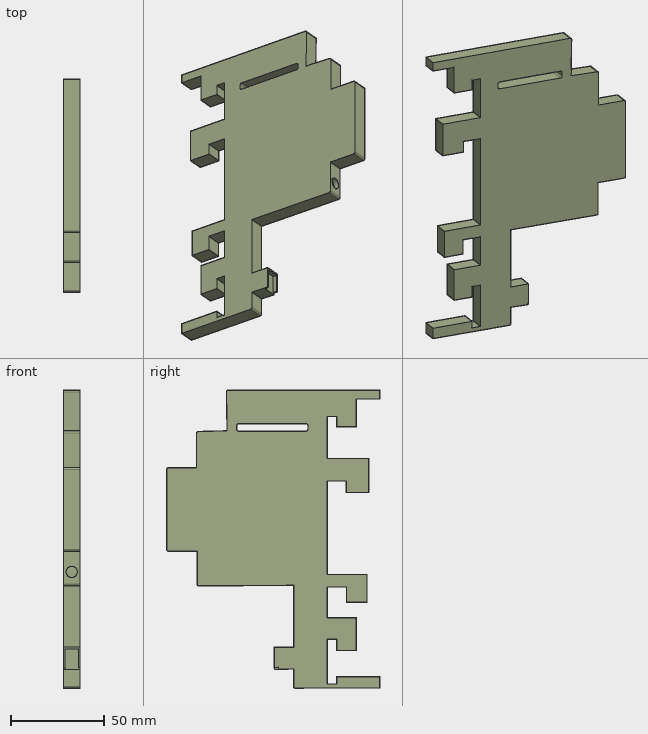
import cadquery as cq

thickness = 9.0
depth = 114.43
height = 160.08
corner_radius = 1.0

spine_back = 86.3
spine_front = 68.1
head_front_top = 32.0
head_front_bottom = 32.35
upper_step_front = 16.0
lower_step_front = 16.3

shelf_back_z = 138.3
shelf_front_z = 137.9
nose_top = 118.5
nose_bottom = 73.5
block_bottom_back = 55.2
block_bottom_front = 54.9

tab_front = 57.7
tab_top = 22.1
tab_bottom_front = 10.0
tab_bottom_back = 10.3
tab_recess_width = 7.3
tab_recess_depth = 2.2
tab_recess_top_wall = 1.1
tab_side_wall = (thickness - tab_recess_width) / 2
far_wall_shortening = 1.2

lip_bottom = 155.2
foot_top = 6.2
foot_bottom_back = 0.15
foot_notch_back = 91.2
foot_notch_bottom = 2.4

top_hook = (101.8, 91.2, lip_bottom, 145.9, 140.3)
second_hook = (108.6, 96.3, 123.4, 111.2, 105.1)
third_hook = (107.6, 96.5, 61.2, 54.3, 46.1)
fourth_hook = (101.8, 91.2, 37.9, 26.3, 20.2)

slot_back = 75.8
slot_front = 37.7
slot_top = 142.0
slot_bottom = 138.1

hole_diameter = 6.0
hole_z = 62.5
hole_depth = 3.0


def hook_points(back, notch_back, top, notch_top, tip_bottom):
    """Points of a downward hook, from its top edge to the notch at the spine."""
    return [
        (back, top),
        (back, tip_bottom),
        (notch_back, tip_bottom),
        (notch_back, notch_top),
        (spine_back, notch_top),
    ]


def separate_hook_points(hook):
    """A hook that starts from the back edge of the spine."""
    top = hook[2]
    return [(spine_back, top)] + hook_points(*hook)


head_corner = (head_front_top, height)
shelf_corner = (upper_step_front, shelf_front_z)
nose_top_corner = (0, nose_top)
nose_bottom_corner = (0, nose_bottom)
block_corner = (lower_step_front, block_bottom_front)
tab_corner = (tab_front, tab_bottom_front)
foot_corner = (spine_front, 0)
rounded_corners = [
    head_corner,
    shelf_corner,
    nose_top_corner,
    nose_bottom_corner,
    block_corner,
    tab_corner,
    foot_corner,
]


def back_edge():
    """Back edge from the top lip down to the foot."""
    points = [(depth, height), (depth, lip_bottom)]
    points += hook_points(*top_hook)
    for hook in (second_hook, third_hook, fourth_hook):
        points += separate_hook_points(hook)
    points += [
        (spine_back, foot_notch_bottom),
        (foot_notch_back, foot_notch_bottom),
        (foot_notch_back, foot_top),
        (depth, foot_top),
        (depth, foot_bottom_back),
    ]
    return points


def front_edge():
    """Stepped front edge from the foot up to the head."""
    return [
        foot_corner,
        (spine_front, tab_bottom_back),
        tab_corner,
        (tab_front, tab_top),
        (spine_front, tab_top),
        (spine_front, block_bottom_back),
        block_corner,
        (lower_step_front, nose_bottom),
        nose_bottom_corner,
        nose_top_corner,
        (upper_step_front, nose_top),
        shelf_corner,
        (head_front_bottom, shelf_back_z),
        head_corner,
    ]


def make_plate():
    plate = cq.Workplane("YZ").polyline(back_edge() + front_edge()).close().extrude(thickness)
    for y, z in rounded_corners:
        corner_edge = cq.selectors.NearestToPointSelector((thickness / 2, y, z))
        plate = plate.edges("|X").edges(corner_edge).fillet(corner_radius)
    return plate


def make_slot():
    length = slot_back - slot_front
    slot_height = slot_top - slot_bottom
    slot = cq.Workplane("XY").box(thickness, length, slot_height, centered=False)
    slot = slot.edges("|X").fillet(corner_radius)
    return slot.translate((0, slot_front, slot_bottom))


def make_hole():
    axis_start = cq.Vector(thickness / 2, lower_step_front, hole_z)
    hole = cq.Solid.makeCylinder(hole_diameter / 2, hole_depth, axis_start, cq.Vector(0, 1, 0))
    return cq.Workplane(hole)


def make_tab_recess():
    """Recess in the front of the tab, open to the front and below."""
    recess_height = tab_top - tab_recess_top_wall - tab_bottom_front
    recess = cq.Workplane("XY").box(tab_recess_width, tab_recess_depth, recess_height, centered=False)
    return recess.translate((tab_side_wall, tab_front, tab_bottom_front))


def make_far_wall_relief():
    """Clearance below the +X wall of the tab recess, which ends higher than the -X wall."""
    relief = cq.Workplane("XY").box(tab_side_wall, tab_recess_depth, far_wall_shortening, centered=False)
    return relief.translate((thickness - tab_side_wall, tab_front, tab_bottom_front))


result = make_plate()
for cutter in (make_slot(), make_hole(), make_tab_recess(), make_far_wall_relief()):
    result = result.cut(cutter)